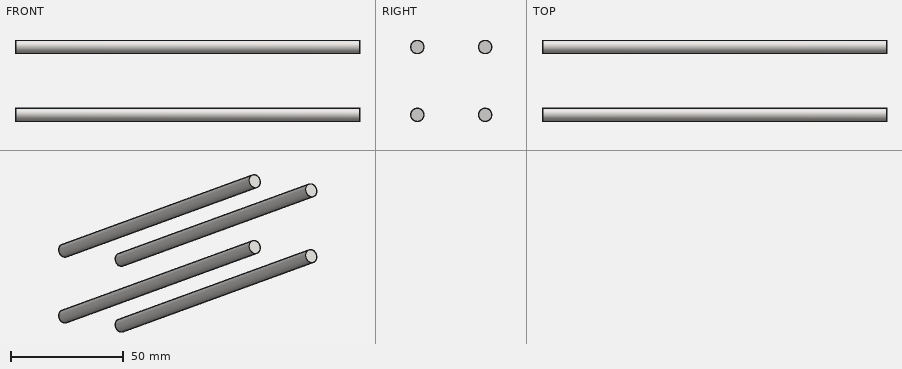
import cadquery as cq

rod_length = 152.4
rod_diameter = 6.0
outer_width = 36.0
rod_spacing = outer_width - rod_diameter


def make_rod(y, z):
    """Round rod along X, centred lengthwise on the origin, with its axis at (y, z)."""
    return (
        cq.Workplane("YZ", origin=(-rod_length / 2, y, z))
        .circle(rod_diameter / 2)
        .extrude(rod_length)
    )


rods = []
for y_side in (-1, 1):
    for z_side in (-1, 1):
        rod = make_rod(y_side * rod_spacing / 2, z_side * rod_spacing / 2)
        rods.append(rod.val())

result = cq.Compound.makeCompound([*rods])